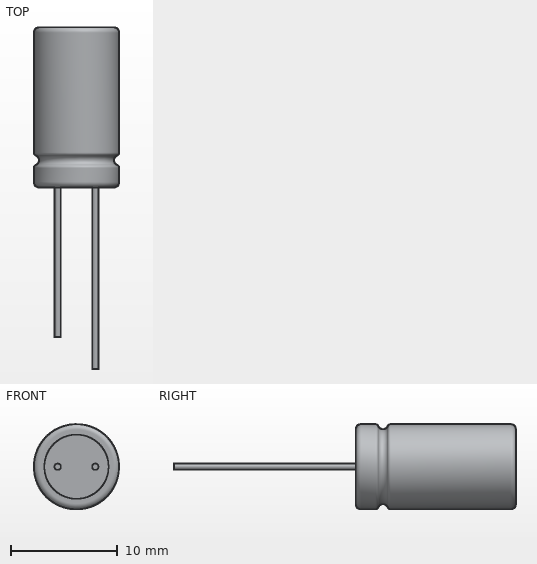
import cadquery as cq
import math

total_length = 32.0
can_diameter = 8.0
can_length = 15.0
edge_radius = 0.5

groove_position = 2.55
groove_radius = 0.48
groove_lip_radius = 0.3

recess_diameter = 6.0
recess_depth = 0.3

lead_diameter = 0.6
lead_spacing = 3.52
lead_length_difference = 3.0
long_lead_length = total_length - can_length
short_lead_length = long_lead_length - lead_length_difference

can_radius = can_diameter / 2


def make_can():
    return (
        cq.Workplane("XZ")
        .circle(can_radius)
        .extrude(-can_length)
        .edges()
        .fillet(edge_radius)
    )


def make_groove_cutter():
    """Ring whose inner face is the groove arc, tangent to a convex lip on each side."""
    centre_distance = groove_radius + groove_lip_radius
    lip_offset = math.sqrt(centre_distance**2 - groove_lip_radius**2)
    lip_angle = math.asin(groove_lip_radius / centre_distance)
    lip_centre_radius = can_radius - groove_lip_radius
    tangent_radius = can_radius - groove_radius * math.sin(lip_angle)
    tangent_offset = groove_radius * math.cos(lip_angle)

    lip_mid_angle = (math.pi / 2 + lip_angle) / 2
    lip_mid_radius = lip_centre_radius + groove_lip_radius * math.sin(lip_mid_angle)
    lip_mid_offset = lip_offset - groove_lip_radius * math.cos(lip_mid_angle)

    def point(radius, offset):
        return (radius, groove_position + offset)

    outer_radius = can_radius + groove_radius
    return (
        cq.Workplane("XY")
        .moveTo(*point(outer_radius, -lip_offset))
        .lineTo(*point(can_radius, -lip_offset))
        .threePointArc(point(lip_mid_radius, -lip_mid_offset), point(tangent_radius, -tangent_offset))
        .threePointArc(point(can_radius - groove_radius, 0), point(tangent_radius, tangent_offset))
        .threePointArc(point(lip_mid_radius, lip_mid_offset), point(can_radius, lip_offset))
        .lineTo(*point(outer_radius, lip_offset))
        .close()
        .revolve(360, (0, 0, 0), (0, 1, 0))
    )


def make_recess_cutter():
    return cq.Workplane("XZ").circle(recess_diameter / 2).extrude(-recess_depth)


def make_lead(x, length):
    """Straight wire from the recess floor to the given length beyond the exit face."""
    return (
        cq.Workplane("XZ", origin=(0, recess_depth, 0))
        .center(x, 0)
        .circle(lead_diameter / 2)
        .extrude(recess_depth + length)
    )


result = make_can().cut(make_groove_cutter()).cut(make_recess_cutter())
for x, length in (
    (-lead_spacing / 2, short_lead_length),
    (lead_spacing / 2, long_lead_length),
):
    result = result.union(make_lead(x, length))